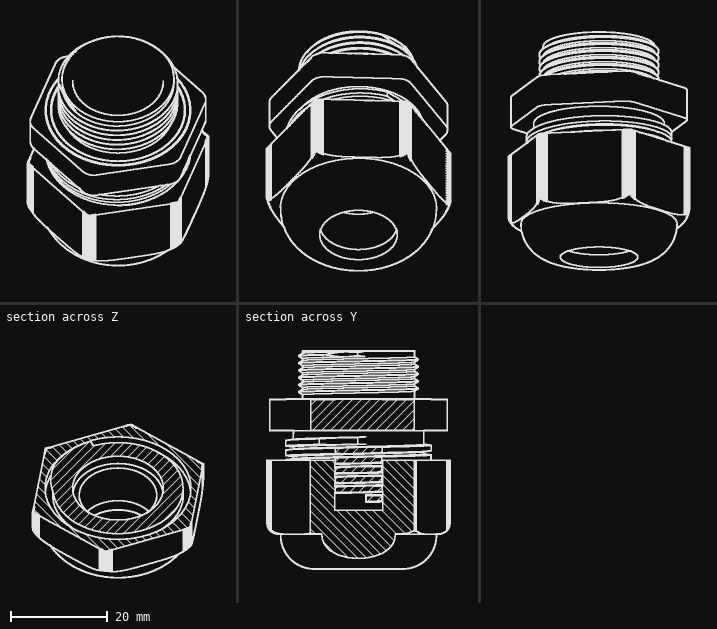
import cadquery as cq
import math


total_height = 45.1
seal_seat_z = 2.7
nut_hex_bottom_z = 7.2
body_bottom_z = 12.18
nut_top_z = 22.5
body_hex_bottom_z = 28.65
body_hex_top_z = 35.1
clocking = 6.2

nut_across_flats = 33.0
body_across_flats = 32.75
hex_corner_ratio = 1 / math.cos(math.pi / 6)
nut_corner_radius = hex_corner_ratio * nut_across_flats / 2
body_corner_fillet = 3.0

bore_d = 18.65
bore_mouth_fillet = 1.0
spigot_d = 27.0
seal_face_outer_d = 30.1
seal_face_inner_d = 27.5
seal_rib_height = 0.115
seal_rib_slope_width = 0.2

entry_root_d = 23.2
entry_crest_d = 24.7
entry_thread_length = 8.4
entry_turns = 5.6
entry_pitch = entry_thread_length / entry_turns
entry_end_z = 44.45
entry_base_width = 1.1
entry_crest_width = 0.1

spigot_crest_d = 30.1
spigot_thread_length = 12.0
spigot_turns = 6
spigot_pitch = spigot_thread_length / spigot_turns
spigot_end_z = 26.55
spigot_base_width = 1.55
spigot_crest_width = 1.15

runout_angle = 39.0
runout_step_angle = 7.0
runout_step_share = 0.45
thread_embed = 0.15

dome_flat_d = 18.3
dome_radius = 7.0
dome_d = dome_flat_d + 2 * dome_radius
nut_corner_round = nut_corner_radius - nut_across_flats / 2
cable_hole_d = 16.0

teeth_per_corner = 11
tooth_pitch = 0.28
tooth_depth = 0.23


def polar(radius, degrees):
    angle = math.radians(degrees)
    return (radius * math.cos(angle), radius * math.sin(angle))


def cylinder(diameter, bottom, top):
    return cq.Workplane("XY").workplane(offset=bottom).circle(diameter / 2).extrude(top - bottom)


def runout_cutter(root, crest, bottom, height):
    """Prism outside the sloping crest of the last stretch of a thread that ends on the +X axis."""
    step_radius = root + runout_step_share * (crest - root)
    clear_radius = 2 * crest
    outline = [
        polar(crest, -runout_angle),
        polar(step_radius, -runout_step_angle),
        (root, 0),
        polar(clear_radius, runout_step_angle),
        polar(clear_radius, -runout_angle),
    ]
    return cq.Workplane("XY").workplane(offset=bottom).polyline(outline).close().extrude(height)


def thread_ridge(root_d, crest_d, pitch, turns, end_z, base_width, crest_width):
    """Right-hand helical ridge whose top end is on the -Y side, turned by the clocking angle."""
    root = root_d / 2
    crest = crest_d / 2
    inner = root - thread_embed
    flank_slope = (base_width - crest_width) / (crest_d - root_d)
    inner_width = base_width + 2 * thread_embed * flank_slope
    path = cq.Wire.makeHelix(pitch, pitch * turns, root)
    profile = (
        cq.Workplane("XZ")
        .moveTo(inner, -inner_width / 2)
        .lineTo(crest, -crest_width / 2)
        .lineTo(crest, crest_width / 2)
        .lineTo(inner, inner_width / 2)
        .close()
    )
    ridge = profile.sweep(cq.Workplane(obj=path), isFrenet=True)
    ridge = ridge.rotate((0, 0, 0), (0, 0, 1), -360 * turns).translate((0, 0, -pitch * turns))
    ridge = ridge.cut(runout_cutter(root, crest, -pitch / 2, 2 * pitch))
    return ridge.rotate((0, 0, 0), (0, 0, 1), 270 + clocking).translate((0, 0, end_z))


def sealing_rib():
    """Low flat-topped ring with sloped sides, on top of the hexagon."""
    inner = seal_face_inner_d / 2
    outer = seal_face_outer_d / 2
    top_z = body_hex_top_z + seal_rib_height
    profile = [
        (inner, body_hex_top_z),
        (outer, body_hex_top_z),
        (outer - seal_rib_slope_width, top_z),
        (inner + seal_rib_slope_width, top_z),
    ]
    return cq.Workplane("XZ").polyline(profile).close().revolve(360, (0, 0, 0), (0, 1, 0))


def bore():
    """Through bore that flares to a rounded mouth at the top."""
    radius = bore_d / 2
    arc_start_z = total_height - bore_mouth_fillet
    profile = (
        cq.Workplane("XZ")
        .moveTo(0, body_bottom_z)
        .lineTo(radius, body_bottom_z)
        .lineTo(radius, arc_start_z)
        .radiusArc((radius + bore_mouth_fillet, total_height), bore_mouth_fillet)
        .lineTo(0, total_height)
        .close()
    )
    return profile.revolve(360, (0, 0, 0), (0, 1, 0))


def make_body():
    """Tubular body with a rounded hexagon flange and an outside thread at each end."""
    flange = (
        cq.Workplane("XY").workplane(offset=body_hex_bottom_z)
        .polygon(6, hex_corner_ratio * body_across_flats)
        .extrude(body_hex_top_z - body_hex_bottom_z)
        .edges("|Z").fillet(body_corner_fillet)
        .rotate((0, 0, 0), (0, 0, 1), clocking)
    )
    body = cylinder(spigot_d, body_bottom_z, body_hex_bottom_z).union(flange)
    body = body.union(sealing_rib())
    body = body.union(cylinder(entry_root_d, body_hex_top_z, total_height))
    body = body.cut(bore())
    entry_thread = thread_ridge(entry_root_d, entry_crest_d, entry_pitch, entry_turns,
                                entry_end_z, entry_base_width, entry_crest_width)
    spigot_thread = thread_ridge(spigot_d, spigot_crest_d, spigot_pitch, spigot_turns,
                                 spigot_end_z, spigot_base_width, spigot_crest_width)
    return body.union(entry_thread).union(spigot_thread)


def toothed_corner(turn):
    """Zigzag across one hexagon corner: tips on the sharp hexagon, V grooves between them."""
    points = []
    half_steps = teeth_per_corner - 1
    for step in range(-half_steps, half_steps + 1):
        offset = step * tooth_pitch / 2
        reach = nut_corner_radius - abs(offset) * math.tan(math.pi / 6)
        is_groove = (step + half_steps) % 2 == 1
        if is_groove:
            reach -= tooth_depth
        along = polar(reach, turn)
        across = polar(offset, turn + 90)
        points.append((along[0] + across[0], along[1] + across[1]))
    return points


def make_nut():
    """Domed hexagonal cap nut, bored to clear the body thread and to hold the seal."""
    outline = []
    for corner in range(6):
        outline += toothed_corner(clocking + 60 * corner)
    nut = (
        cq.Workplane("XY").workplane(offset=nut_hex_bottom_z)
        .polyline(outline).close()
        .extrude(nut_top_z - nut_hex_bottom_z)
    )
    rounding = cylinder(2 * nut_corner_radius, nut_hex_bottom_z, nut_top_z)
    nut = nut.intersect(rounding.faces("<Z").edges().fillet(nut_corner_round))
    dome = cylinder(dome_d, 0, nut_hex_bottom_z).faces("<Z").edges().fillet(dome_radius)
    nut = nut.union(dome)
    nut = nut.cut(cylinder(cable_hole_d, 0, nut_top_z))
    nut = nut.cut(cylinder(spigot_d, seal_seat_z, nut_top_z))
    return nut.cut(cylinder(spigot_crest_d, body_bottom_z, nut_top_z))


def make_seal():
    """Ring that fills the seat between the dome floor and the bottom end of the body."""
    ring = cylinder(spigot_d, seal_seat_z, body_bottom_z)
    return ring.cut(cylinder(cable_hole_d, seal_seat_z, body_bottom_z))


body = make_body()
nut = make_nut()
seal = make_seal()

result = cq.Compound.makeCompound([body.val(), nut.val(), seal.val()])